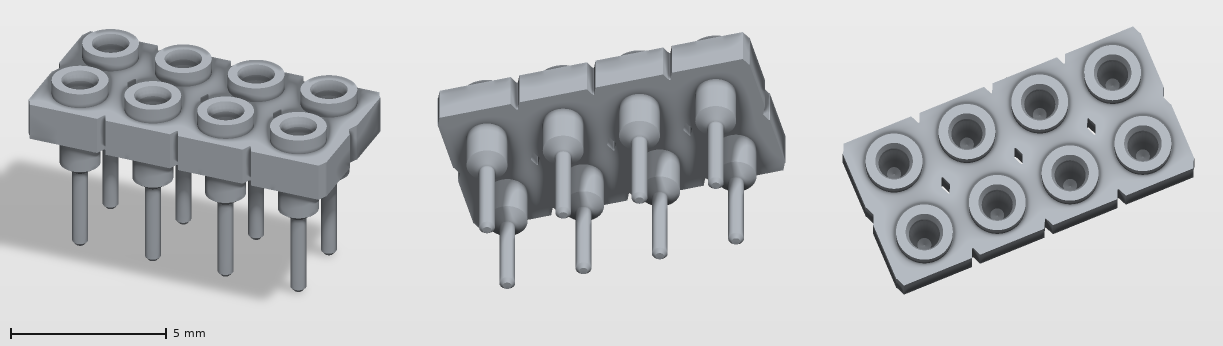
import cadquery as cq

COLUMNS = 4
ROWS = 2
PITCH = 2.54

END_MARGIN = 0.115
HOUSING_LENGTH = COLUMNS * PITCH + 2 * END_MARGIN
HOUSING_WIDTH = ROWS * PITCH
HOUSING_HEIGHT = 1.27

NOTCH_HALF_WIDTH = 0.145
NOTCH_HALF_LENGTH = 0.29
NOTCH_TIP_HALF_WIDTH = 0.02

COLLAR_DIAMETER = 1.83
COLLAR_HEIGHT = 0.51
BARREL_DIAMETER = 1.32
BARREL_LENGTH_BELOW = 1.27
BARREL_END_Z = -HOUSING_HEIGHT - BARREL_LENGTH_BELOW
TAIL_DIAMETER = 0.51
SHOULDER_HEIGHT = 0.3
TIP_DIAMETER = 0.28
TIP_HEIGHT = 0.13
CONTACT_LENGTH = 6.1
TAIL_END_Z = COLLAR_HEIGHT - CONTACT_LENGTH

FUNNEL_DIAMETER = 1.21
BORE_DIAMETER = 1.0
FUNNEL_DEPTH = 0.32
BORE_DEPTH = 0.52
THROAT_DIAMETER = 0.45
THROAT_DEPTH = COLLAR_HEIGHT + HOUSING_HEIGHT
SOCKET_END_DIAMETER = 0.06
SOCKET_END_HEIGHT = 0.14
SOCKET_DEPTH = THROAT_DEPTH + SOCKET_END_HEIGHT


def grid_positions(count, spacing):
    """Evenly spaced coordinates centred on zero."""
    return [(i - (count - 1) / 2) * spacing for i in range(count)]


CONTACT_POINTS = [
    (x, y)
    for x in grid_positions(COLUMNS, PITCH)
    for y in grid_positions(ROWS, PITCH)
]


def make_notch(x, y):
    """Lozenge with blunted tips that cuts through the housing height."""
    return (
        cq.Workplane("XY")
        .center(x, y)
        .polyline([
            (-NOTCH_HALF_WIDTH, 0),
            (-NOTCH_TIP_HALF_WIDTH, NOTCH_HALF_LENGTH),
            (NOTCH_TIP_HALF_WIDTH, NOTCH_HALF_LENGTH),
            (NOTCH_HALF_WIDTH, 0),
            (NOTCH_TIP_HALF_WIDTH, -NOTCH_HALF_LENGTH),
            (-NOTCH_TIP_HALF_WIDTH, -NOTCH_HALF_LENGTH),
        ])
        .close()
        .extrude(-HOUSING_HEIGHT)
    )


def make_housing():
    """Notched block with one through hole for each contact barrel."""
    block = (
        cq.Workplane("XY")
        .rect(HOUSING_LENGTH, HOUSING_WIDTH)
        .extrude(-HOUSING_HEIGHT)
    )
    inner_columns = grid_positions(COLUMNS - 1, PITCH)
    notch_columns = [-HOUSING_LENGTH / 2, *inner_columns, HOUSING_LENGTH / 2]
    for x in notch_columns:
        for y in grid_positions(ROWS + 1, PITCH):
            block = block.cut(make_notch(x, y))
    barrel_holes = (
        cq.Workplane("XY")
        .pushPoints(CONTACT_POINTS)
        .circle(BARREL_DIAMETER / 2)
        .extrude(-HOUSING_HEIGHT)
    )
    return block.cut(barrel_holes)


def make_contact(x, y):
    """Turned contact: half section revolved about its vertical axis."""
    half_section = [
        (0, TAIL_END_Z),
        (TIP_DIAMETER / 2, TAIL_END_Z),
        (TAIL_DIAMETER / 2, TAIL_END_Z + TIP_HEIGHT),
        (TAIL_DIAMETER / 2, BARREL_END_Z - SHOULDER_HEIGHT),
        (BARREL_DIAMETER / 2, BARREL_END_Z),
        (BARREL_DIAMETER / 2, 0),
        (COLLAR_DIAMETER / 2, 0),
        (COLLAR_DIAMETER / 2, COLLAR_HEIGHT),
        (FUNNEL_DIAMETER / 2, COLLAR_HEIGHT),
        (BORE_DIAMETER / 2, COLLAR_HEIGHT - FUNNEL_DEPTH),
        (BORE_DIAMETER / 2, COLLAR_HEIGHT - BORE_DEPTH),
        (THROAT_DIAMETER / 2, COLLAR_HEIGHT - THROAT_DEPTH),
        (SOCKET_END_DIAMETER / 2, COLLAR_HEIGHT - SOCKET_DEPTH),
        (0, COLLAR_HEIGHT - SOCKET_DEPTH),
    ]
    return (
        cq.Workplane("XZ")
        .polyline(half_section)
        .close()
        .revolve(360, (0, 0, 0), (0, 1, 0))
        .translate((x, y, 0))
    )


housing = make_housing()
contacts = [make_contact(x, y) for x, y in CONTACT_POINTS]

result = cq.Compound.makeCompound([
    housing.val(),
    *[contact.val() for contact in contacts],
])